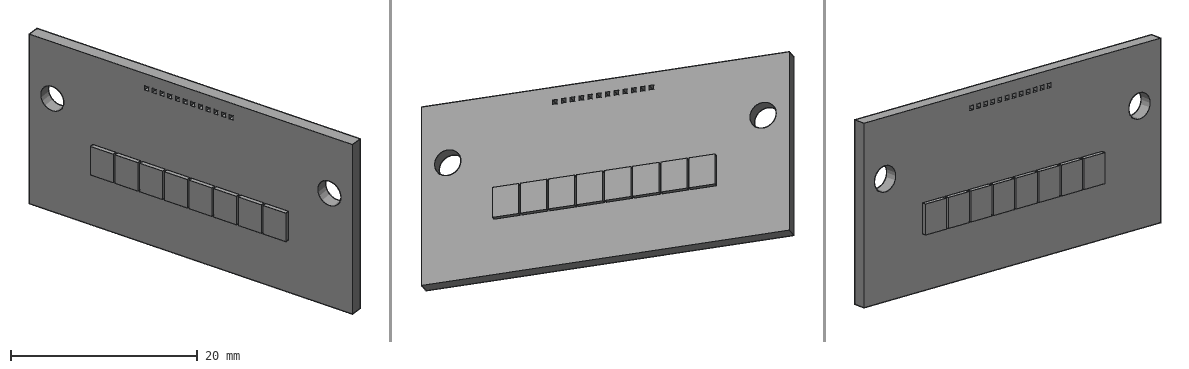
import cadquery as cq

board_width = 42.0
board_height = 21.0
total_depth = 2.0
pad_thickness = 0.5
board_thickness = total_depth - pad_thickness

mount_hole_diameter = 3.0
mount_hole_spacing = 36.0
mount_hole_z = 3.5

pin_count = 12
pin_hole_side = 0.5
pin_row_span = 11.0
pin_row_center_x = -0.25
pin_row_z = 8.75

pad_count = 8
pad_width = 3.0
pad_height = 3.53
pad_row_width = 25.4
pad_row_z = -2.23


def row_points(count, span, center_x, z):
    """Evenly spaced points along X whose first and last are span apart."""
    pitch = span / (count - 1)
    return [(center_x - span / 2 + i * pitch, z) for i in range(count)]


def make_board():
    return cq.Workplane("XZ").rect(board_width, board_height).extrude(-board_thickness)


def make_mount_holes():
    points = row_points(2, mount_hole_spacing, 0, mount_hole_z)
    return cq.Workplane("XZ").pushPoints(points).circle(mount_hole_diameter / 2).extrude(-board_thickness)


def make_pin_holes():
    points = row_points(pin_count, pin_row_span, pin_row_center_x, pin_row_z)
    return cq.Workplane("XZ").pushPoints(points).rect(pin_hole_side, pin_hole_side).extrude(-board_thickness)


def make_pads():
    points = row_points(pad_count, pad_row_width - pad_width, 0, pad_row_z)
    return cq.Workplane("XZ").pushPoints(points).rect(pad_width, pad_height).extrude(pad_thickness)


result = make_board().cut(make_mount_holes()).cut(make_pin_holes()).union(make_pads())